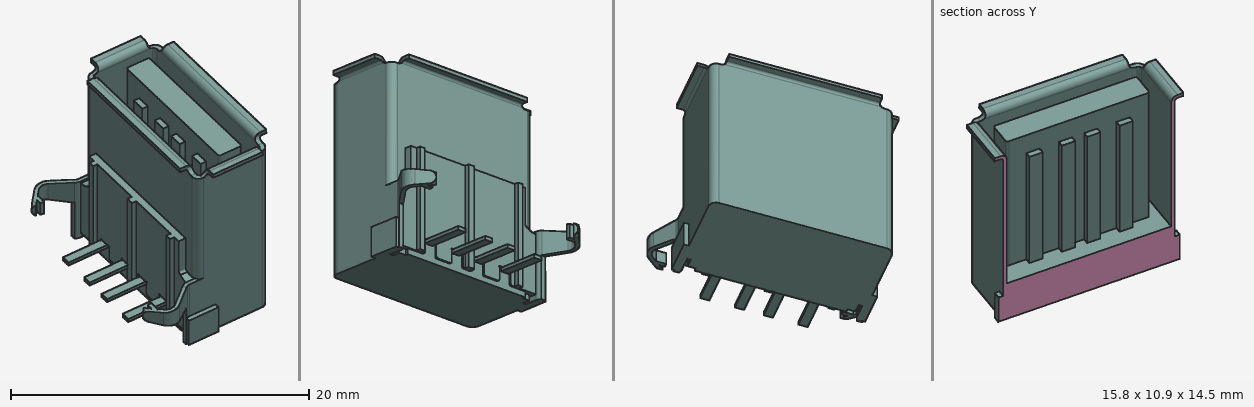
import cadquery as cq
import math


total_height = 14.5
shell_half_x = 6.54
shell_half_y = 2.94
side_wall = 0.3
face_wall = 0.4
corner_radius = 0.55
inner_corner_radius = 0.22
rim_height = 13.92

lip_thickness = 0.3
lip_inner_radius = 0.19
lip_outer_radius = lip_inner_radius + lip_thickness
lip_relief_radius = 0.41
face_lip_half_width = 5.45
side_lip_half_width = 2.02
side_lip_reach = 7.19
face_lip_reach = 3.52

wing_top = 5.0
wing_end_y = -3.92
wing_start_y = -(shell_half_y - corner_radius)
clip_reach = 7.9
clip_tip_y = -7.33
clip_bend_radius = 0.9
clip_bend_y = -5.7
wing_bend_radius = 0.41
upper_slope = 38.0
lower_slope = 48.0
clip_root_half_height = 0.9
clip_tip_half_height = 0.47
clip_tip_round = 0.33
clip_center_z = wing_top - clip_root_half_height
barb_top_y = -6.46
barb_start_x = 7.03
barb_end_x = 6.3

pad_half_x = 6.9
pad_back_y = -1.39
pad_front_y = -3.8
pad_height = 2.16

inner_half_x = shell_half_x - side_wall
inner_half_y = shell_half_y - face_wall
floor_height = 3.16
plate_y = -3.5
plate_top = 7.9
plate_bottom = 0.43
plate_half_x = 5.26
shoulder_rise = 0.46
shoulder_bottom = 4.82
shoulder_join = (5.48, 5.07)
shoulder_wide_mid = (5.86, 4.88)
shoulder_tight_mid = (5.32, 5.15)
base_y = -3.38
base_half_x = 5.42
base_step_y = -3.16
base_step_half_x = 5.99
rib_y = -3.85
rib_width = 0.43
center_rib_width = 0.54
rib_offset = 4.52
slot_width = 1.03
slot_top = 1.53
slot_foot_radius = 0.16
slot_positions = (-3.43, -0.96, 0.96, 3.43)

tongue_half_x = 5.45
tongue_back_y = 1.52
tongue_front_y = -0.35
tongue_top = 14.06
tongue_corner_radius = 0.16
contact_width = 1.01
contact_front_y = -0.79
contact_top = 12.48
pin_width = 0.66
pin_bottom = 1.25
pin_top = 1.52
pin_end_y = -6.64
pin_positions = (-3.5, -1.03, 1.03, 3.5)


def block(x0, x1, y0, y1, z0, z1):
    return cq.Workplane("XY").box(x1 - x0, y1 - y0, z1 - z0, centered=False).translate((x0, y0, z0))


def make_row(positions, width, y0, y1, z0, z1):
    """Equal blocks centred on the given X positions."""
    row = cq.Workplane("XY")
    for x in positions:
        row = row.add(block(x - width / 2, x + width / 2, y0, y1, z0, z1))
    return row.combine()


def polar(center, radius, degrees):
    angle = math.radians(degrees)
    return (center[0] + radius * math.cos(angle), center[1] + radius * math.sin(angle))


def mirrored(solid, plane):
    return solid.union(solid.mirror(plane))


def make_tube():
    outer = block(-shell_half_x, shell_half_x, -shell_half_y, shell_half_y, 0, rim_height)
    inner = block(-inner_half_x, inner_half_x, -inner_half_y, inner_half_y, 0, rim_height)
    tube = outer.edges("|Z").fillet(corner_radius).cut(inner.edges("|Z").fillet(inner_corner_radius))
    return tube.cut(block(-shell_half_x, shell_half_x, -shell_half_y, wing_start_y, 0, wing_top))


def make_lip(outer_face, wall, reach, half_width):
    """Lip flared toward +X, centred on Y = 0, with concave reliefs at both ends."""
    inner_face = outer_face - wall
    under_side = total_height - lip_thickness
    top_center = (inner_face + lip_outer_radius, total_height - lip_outer_radius)
    under_center = (outer_face + lip_inner_radius, under_side - lip_inner_radius)
    full_half = half_width + lip_relief_radius
    flare = (
        cq.Workplane("XZ")
        .moveTo(inner_face, rim_height)
        .lineTo(inner_face, top_center[1])
        .threePointArc(polar(top_center, lip_outer_radius, 135), (top_center[0], total_height))
        .lineTo(reach, total_height)
        .lineTo(reach, under_side)
        .lineTo(under_center[0], under_side)
        .threePointArc(polar(under_center, lip_inner_radius, 135), (outer_face, under_center[1]))
        .lineTo(outer_face, rim_height)
        .close()
        .extrude(full_half, both=True)
    )
    relief_top = rim_height + lip_relief_radius
    relief_center = (full_half, relief_top)
    mirrored_center = (-full_half, relief_top)
    outline = (
        cq.Workplane("YZ")
        .moveTo(-full_half, rim_height)
        .lineTo(full_half, rim_height)
        .threePointArc(polar(relief_center, lip_relief_radius, 225), (half_width, relief_top))
        .lineTo(half_width, total_height)
        .lineTo(-half_width, total_height)
        .lineTo(-half_width, relief_top)
        .threePointArc(polar(mirrored_center, lip_relief_radius, -45), (-full_half, rim_height))
        .close()
        .extrude(reach)
    )
    return flare.intersect(outline)


def make_shell():
    shell = make_tube()
    side_lip = make_lip(shell_half_x, side_wall, side_lip_reach, side_lip_half_width)
    face_lip = make_lip(shell_half_y, face_wall, face_lip_reach, face_lip_half_width)
    for lip, angle in ((side_lip, 0), (face_lip, 90), (side_lip, 180), (face_lip, 270)):
        shell = shell.union(lip.rotate((0, 0, 0), (0, 0, 1), angle))
    return shell


def make_clip_strip():
    """Left wing and clip as one bent strip, seen in plan and extruded to the wing height."""
    upper_angle = 180 - upper_slope
    lower_angle = 180 + lower_slope
    inner_radius = clip_bend_radius - side_wall
    bend_center = (clip_bend_radius - clip_reach, clip_bend_y)
    bend_start = polar(bend_center, clip_bend_radius, upper_angle)
    bend_end = polar(bend_center, clip_bend_radius, lower_angle)

    corner_y = bend_start[1] + (-shell_half_x - bend_start[0]) / math.tan(math.radians(upper_slope))
    tangent_length = wing_bend_radius * math.tan(math.radians(upper_slope / 2))
    wing_center = (-shell_half_x - wing_bend_radius, corner_y + tangent_length)
    wing_outer_radius = wing_bend_radius + side_wall

    tip_length = (bend_end[1] - clip_tip_y) / math.cos(math.radians(lower_slope))
    tip_direction = lower_angle + 90
    tip_inner = polar(polar(bend_center, inner_radius, lower_angle), tip_length, tip_direction)
    return (
        cq.Workplane("XY")
        .moveTo(-shell_half_x, wing_start_y)
        .lineTo(-shell_half_x, wing_center[1])
        .threePointArc(
            polar(wing_center, wing_bend_radius, -upper_slope / 2),
            polar(wing_center, wing_bend_radius, -upper_slope),
        )
        .lineTo(*bend_start)
        .threePointArc(polar(bend_center, clip_bend_radius, 180), bend_end)
        .lineTo(*polar(bend_end, tip_length, tip_direction))
        .lineTo(*tip_inner)
        .lineTo(*polar(bend_center, inner_radius, lower_angle))
        .threePointArc(
            polar(bend_center, inner_radius, 180),
            polar(bend_center, inner_radius, upper_angle),
        )
        .lineTo(*polar(wing_center, wing_outer_radius, -upper_slope))
        .threePointArc(
            polar(wing_center, wing_outer_radius, -upper_slope / 2),
            polar(wing_center, wing_outer_radius, 0),
        )
        .lineTo(-inner_half_x, wing_start_y)
        .close()
        .extrude(wing_top)
    )


def make_left_clip():
    barb = block(-barb_start_x, -barb_end_x, barb_top_y - side_wall, barb_top_y, 0, wing_top)
    round_y = clip_tip_y + clip_tip_round
    side_outline = (
        cq.Workplane("YZ")
        .moveTo(wing_start_y, 0)
        .lineTo(wing_start_y, wing_top)
        .lineTo(wing_end_y, wing_top)
        .lineTo(round_y, clip_center_z + clip_tip_half_height)
        .lineTo(round_y, clip_center_z - clip_tip_half_height)
        .lineTo(wing_end_y, clip_center_z - clip_root_half_height)
        .lineTo(wing_end_y, 0)
        .close()
        .extrude(-clip_reach)
    )
    round_end = (
        cq.Workplane("YZ")
        .center(round_y, clip_center_z)
        .ellipse(clip_tip_round, clip_tip_half_height)
        .extrude(-clip_reach)
    )
    clip = make_clip_strip().union(barb).intersect(side_outline.union(round_end))
    pad = block(-pad_half_x, -shell_half_x, pad_front_y, pad_back_y, 0, pad_height)
    return clip.union(pad)


def make_front_plate():
    shoulder_top = shoulder_bottom + shoulder_rise
    half = (
        cq.Workplane("XZ", origin=(0, -inner_half_y, 0))
        .moveTo(0, plate_bottom)
        .lineTo(inner_half_x, plate_bottom)
        .lineTo(inner_half_x, shoulder_bottom)
        .threePointArc(shoulder_wide_mid, shoulder_join)
        .threePointArc(shoulder_tight_mid, (plate_half_x, shoulder_top))
        .lineTo(plate_half_x, plate_top)
        .lineTo(0, plate_top)
        .close()
        .extrude(-inner_half_y - plate_y)
    )
    plate = mirrored(half, "YZ")
    slots = make_row(slot_positions, slot_width, plate_y, -inner_half_y, plate_bottom, slot_top)
    plate = plate.cut(slots)
    slot_feet = cq.selectors.BoxSelector(
        (-plate_half_x, plate_y, plate_bottom - slot_foot_radius),
        (plate_half_x, -inner_half_y, plate_bottom + slot_foot_radius),
    )
    plate = plate.edges("|Y").edges(slot_feet).fillet(slot_foot_radius)
    rib_rows = ((0, center_rib_width), (-rib_offset, rib_width), (rib_offset, rib_width))
    for x, width in rib_rows:
        plate = plate.union(block(x - width / 2, x + width / 2, rib_y, plate_y, plate_bottom, plate_top))
    return plate


def make_insulator():
    body = block(-inner_half_x, inner_half_x, -inner_half_y, inner_half_y, 0, floor_height)
    base = block(-base_half_x, base_half_x, base_y, -inner_half_y, 0, slot_top)
    base_step = block(-base_step_half_x, base_step_half_x, base_step_y, -inner_half_y, 0, slot_top)
    tongue = block(
        -tongue_half_x, tongue_half_x, tongue_front_y, tongue_back_y, 0, tongue_top
    ).edges("|Z").fillet(tongue_corner_radius)
    return body.union(base).union(base_step).union(make_front_plate()).union(tongue)


contacts = make_row(slot_positions, contact_width, contact_front_y, tongue_front_y, 0, contact_top)
pins = make_row(pin_positions, pin_width, pin_end_y, base_y, pin_bottom, pin_top)
clips = mirrored(make_left_clip(), "YZ")

result = make_shell().union(make_insulator()).union(clips).union(contacts).union(pins)